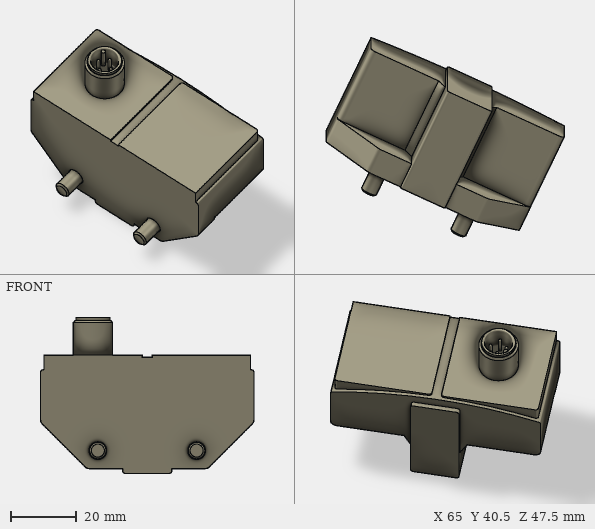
import cadquery as cq
import math


WIDTH = 65.0
DEPTH = 32.0
HALF_WIDTH = WIDTH / 2
SHOULDER_Z = 31.65
ARCH_TOP_Z = 35.4
LEDGE_WIDTH = 1.05
EDGE_RADIUS = 1.0

PLATE_DEPTH = 8.0
PLATE_BOTTOM_Z = 1.5
PLATE_CORNER_Z = 15.65
PLATE_CORNER_RADIUS = 2.0

REAR_BOTTOM_Z = 15.15
REAR_CORNER_RADIUS = 2.0
GUSSET_BOTTOM_Z = 11.0
GUSSET_ANGLE = 28.5

RAIL_WIDTH = 15.0
RAIL_TOP_Z = 32.45
RAIL_BACK_Y = 33.5

PAD_TOP_Z = 36.0
PAD_BACK_Y = 30.9
PAD_GAP = 3.0
PAD_CORNER_RADIUS = 0.9

CONNECTOR_X = -16.5
CONNECTOR_Y = 16.0
CONNECTOR_TOP_Z = 47.5
CONNECTOR_DIAMETER = 12.0
COLLAR_DIAMETER = 10.4
COLLAR_HEIGHT = 0.9
CONNECTOR_CHAMFER = 0.65
BORE_DIAMETER = 8.5
BORE_DEPTH = 7.0
BORE_RADIUS = 0.45
KEY_RADIUS = 0.65
KEY_CIRCLE_RADIUS = 3.8
KEY_TOP_DROP = 0.5
CONTACT_DIAMETER = 1.0
CONTACT_COUNT = 4
CONTACT_CIRCLE_RADIUS = 2.5
CONTACT_TOP_DROP = 2.0
CONTACT_TIP_RADIUS = 0.45

PIN_DIAMETER = 5.0
PIN_HOLE_DIAMETER = 5.4
PIN_SPACING = 30.0
PIN_Z = 7.0
PIN_PROTRUSION = 7.0
PIN_HOLE_DEPTH = 7.0
PIN_CHAMFER = 0.5
PIN_XS = (-PIN_SPACING / 2, PIN_SPACING / 2)


def extrude_back(outline, start_y, end_y):
    """Extrude a closed XZ outline from start_y to end_y."""
    return outline.extrude(start_y - end_y).translate((0, start_y, 0))


def arched_outline(lower_points):
    """Start an outline with the arched top and ledges, then add the lower points left to right."""
    arch_end = HALF_WIDTH - LEDGE_WIDTH
    return (
        cq.Workplane("XZ")
        .moveTo(HALF_WIDTH, SHOULDER_Z)
        .lineTo(arch_end, SHOULDER_Z)
        .threePointArc((0, ARCH_TOP_Z), (-arch_end, SHOULDER_Z))
        .lineTo(-HALF_WIDTH, SHOULDER_Z)
        .polyline(lower_points, includeCurrent=True)
        .close()
    )


def round_lengthwise_edges(block, x, z, radius):
    """Round the two Y-direction edges at (-x, z) and (x, z)."""
    reach = 0.05
    for side in (-x, x):
        corner = cq.selectors.BoxSelector((side - reach, 0, z - reach), (side + reach, DEPTH, z + reach))
        block = block.edges("|Y").edges(corner).fillet(radius)
    return block


def make_front_plate():
    slope_run = PLATE_CORNER_Z - PLATE_BOTTOM_Z
    foot_x = HALF_WIDTH - slope_run
    outline = arched_outline([
        (-HALF_WIDTH, PLATE_CORNER_Z),
        (-foot_x, PLATE_BOTTOM_Z),
        (foot_x, PLATE_BOTTOM_Z),
        (HALF_WIDTH, PLATE_CORNER_Z),
    ])
    plate = extrude_back(outline, 0, PLATE_DEPTH)
    plate = round_lengthwise_edges(plate, HALF_WIDTH, SHOULDER_Z, EDGE_RADIUS)
    plate = round_lengthwise_edges(plate, HALF_WIDTH, PLATE_CORNER_Z, PLATE_CORNER_RADIUS)
    return round_lengthwise_edges(plate, foot_x, PLATE_BOTTOM_Z, PLATE_CORNER_RADIUS)


def make_rear_block():
    gusset_foot_x = RAIL_WIDTH / 2
    gusset_height = REAR_BOTTOM_Z - GUSSET_BOTTOM_Z
    gusset_head_x = gusset_foot_x + gusset_height * math.tan(math.radians(GUSSET_ANGLE))
    outline = arched_outline([
        (-HALF_WIDTH, REAR_BOTTOM_Z),
        (-gusset_head_x, REAR_BOTTOM_Z),
        (-gusset_foot_x, GUSSET_BOTTOM_Z),
        (gusset_foot_x, GUSSET_BOTTOM_Z),
        (gusset_head_x, REAR_BOTTOM_Z),
        (HALF_WIDTH, REAR_BOTTOM_Z),
    ])
    block = extrude_back(outline, PLATE_DEPTH, DEPTH)
    block = round_lengthwise_edges(block, HALF_WIDTH, SHOULDER_Z, EDGE_RADIUS)
    return round_lengthwise_edges(block, HALF_WIDTH, REAR_BOTTOM_Z, REAR_CORNER_RADIUS)


def make_rail():
    outline = cq.Workplane("XZ").center(0, RAIL_TOP_Z / 2).rect(RAIL_WIDTH, RAIL_TOP_Z)
    return extrude_back(outline, 0, RAIL_BACK_Y).edges("|Y").fillet(EDGE_RADIUS)


def make_pads():
    """Two raised pads with rounded back corners, separated by a shallow channel."""
    pad_width = HALF_WIDTH - LEDGE_WIDTH - PAD_GAP / 2
    pad_x = (PAD_GAP + pad_width) / 2
    return (
        cq.Workplane("XY")
        .workplane(offset=SHOULDER_Z)
        .pushPoints([(-pad_x, PAD_BACK_Y / 2), (pad_x, PAD_BACK_Y / 2)])
        .rect(pad_width, PAD_BACK_Y)
        .extrude(PAD_TOP_Z - SHOULDER_Z)
        .edges("|Z and >Y")
        .fillet(PAD_CORNER_RADIUS)
    )


def connector_cylinder(radius, bottom_z, top_z, x=0.0, y=0.0):
    """Vertical cylinder placed relative to the connector axis."""
    return (
        cq.Workplane("XY")
        .workplane(offset=bottom_z)
        .center(CONNECTOR_X + x, CONNECTOR_Y + y)
        .circle(radius)
        .extrude(top_z - bottom_z)
    )


def make_connector():
    """Round socket with a keyed bore and a ring of contacts."""
    collar_bottom_z = CONNECTOR_TOP_Z - COLLAR_HEIGHT
    floor_z = CONNECTOR_TOP_Z - BORE_DEPTH
    barrel = connector_cylinder(CONNECTOR_DIAMETER / 2, SHOULDER_Z, collar_bottom_z)
    barrel = barrel.faces(">Z").chamfer(CONNECTOR_CHAMFER)
    collar = connector_cylinder(COLLAR_DIAMETER / 2, collar_bottom_z, CONNECTOR_TOP_Z)
    bore = connector_cylinder(BORE_DIAMETER / 2, floor_z, CONNECTOR_TOP_Z)
    bore = bore.faces("<Z").edges().fillet(BORE_RADIUS)
    socket = barrel.union(collar).cut(bore)
    mouth = cq.selectors.RadiusNthSelector(0)
    socket = socket.faces(">Z").edges(mouth).fillet(BORE_RADIUS)

    key_offset = KEY_CIRCLE_RADIUS * math.sqrt(0.5)
    key_top_z = CONNECTOR_TOP_Z - KEY_TOP_DROP
    socket = socket.union(connector_cylinder(KEY_RADIUS, floor_z, key_top_z, -key_offset, key_offset))

    for index in range(CONTACT_COUNT):
        angle = 2 * math.pi * index / CONTACT_COUNT
        contact = connector_cylinder(
            CONTACT_DIAMETER / 2,
            floor_z,
            CONNECTOR_TOP_Z - CONTACT_TOP_DROP,
            CONTACT_CIRCLE_RADIUS * math.cos(angle),
            CONTACT_CIRCLE_RADIUS * math.sin(angle),
        )
        socket = socket.union(contact.faces(">Z").edges().fillet(CONTACT_TIP_RADIUS))
    return socket


def make_pin_hole(x):
    outline = cq.Workplane("XZ").center(x, PIN_Z).circle(PIN_HOLE_DIAMETER / 2)
    return extrude_back(outline, 0, PIN_HOLE_DEPTH)


def make_pin(x):
    """Pin seated on the bottom of its clearance hole, with a chamfered free end."""
    outline = cq.Workplane("XZ").center(x, PIN_Z).circle(PIN_DIAMETER / 2)
    pin = extrude_back(outline, -PIN_PROTRUSION, PIN_HOLE_DEPTH)
    return pin.faces("<Y").chamfer(PIN_CHAMFER)


def make_housing():
    housing = make_front_plate().union(make_rear_block()).union(make_rail())
    housing = housing.union(make_pads()).union(make_connector())
    for x in PIN_XS:
        housing = housing.cut(make_pin_hole(x))
    return housing


housing = make_housing()
pins = [make_pin(x).val() for x in PIN_XS]

result = cq.Compound.makeCompound([housing.val(), *pins])